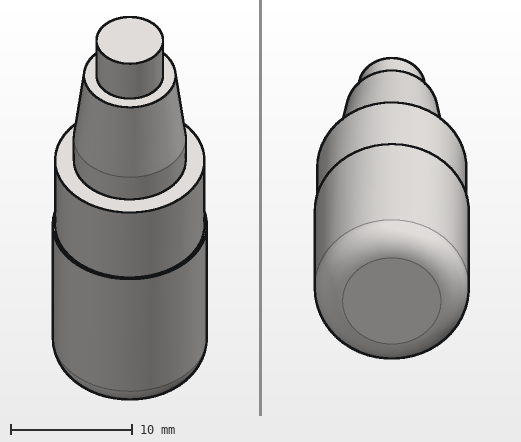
import cadquery as cq

grip_top = 15.25
collar_top = 22.75
sleeve_top = 25.33
taper_top = 32.57
cable_top = 36.6

grip_radius = 6.35
grip_end_rounding = 2.3
collar_radius = 6.15
sleeve_radius = 4.6
taper_top_radius = 3.77
cable_radius = 2.75


def cylinder(radius, bottom, top):
    """Upright cylinder on the Z axis between two heights."""
    return cq.Workplane("XY", origin=(0, 0, bottom)).circle(radius).extrude(top - bottom)


def make_grip():
    """Widest section, with its lower edge rounded."""
    return cylinder(grip_radius, 0, grip_top).faces("<Z").edges().fillet(grip_end_rounding)


def make_strain_relief():
    """Straight sleeve followed by a taper that narrows towards the cable."""
    return (
        cq.Workplane("XZ")
        .moveTo(0, collar_top)
        .lineTo(sleeve_radius, collar_top)
        .lineTo(sleeve_radius, sleeve_top)
        .lineTo(taper_top_radius, taper_top)
        .lineTo(0, taper_top)
        .close()
        .revolve(360, (0, 0, 0), (0, 1, 0))
    )


def make_housing():
    """Grip, slightly narrower collar and strain relief as one solid."""
    collar = cylinder(collar_radius, grip_top, collar_top)
    return make_grip().union(collar).union(make_strain_relief())


def make_cable():
    """Cable stub standing on the flat end of the strain relief."""
    return cylinder(cable_radius, taper_top, cable_top)


housing = make_housing()
cable = make_cable()

result = cq.Compound.makeCompound([housing.val(), cable.val()])